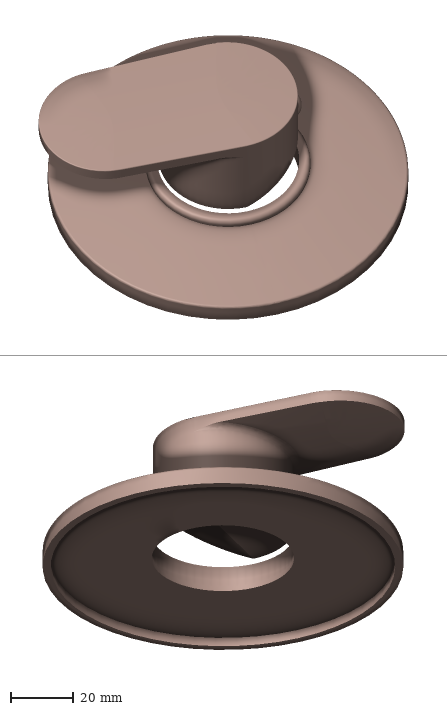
import cadquery as cq
import math

PLATE_RADIUS = 116.0 / 2
PLATE_EDGE_HEIGHT = 6.0
PLATE_EDGE_ROUND = 0.8
DOME_HEIGHT = 9.2
RIM_RADIUS = 26.5
RIM_TOP = 11.7
RIM_ROUND = 1.6
HOLE_RADIUS = 22.9
RECESS_RADIUS = 55.4
RECESS_DEPTH = 3.0

OVERALL_LENGTH = 120.5
POST_RADIUS = 22.5
POST_BOTTOM = 13.4
POST_BACK_BOTTOM = 23.9

LEVER_TIP_RADIUS = 21.3
LEVER_TIP_Y = LEVER_TIP_RADIUS - (OVERALL_LENGTH - PLATE_RADIUS)
LEVER_TOP = 44.5
LEVER_BOTTOM = 37.8
LEVER_TOP_ROUND = 0.4
TOP_RIM_DEPTH = 1.8
NECK_FILLET = 1.9

CREASE_BACK_Y = -2.9
CREASE_FRONT_Y = -39.3
TOP_CROWN_RADIUS = 289.1
TOP_END_RADIUS = 325.2
TOP_CREASE_OFFSET = 3.0
BOTTOM_CROWN_RADIUS = 126.5
BOTTOM_END_RADIUS = 139.7
BOTTOM_CREASE_OFFSET = 1.2

BUTTON_RADIUS = 4.8
BUTTON_REACH = 24.5
BUTTON_Z = 32.4

BLANK_SIZE = 144.5
TRIM_HEIGHT = 12.0


def make_plate():
    """Revolve the plate's half section around Z."""
    dome_radius = (PLATE_RADIUS**2 - RIM_RADIUS**2) / (2 * (DOME_HEIGHT - PLATE_EDGE_HEIGHT))
    section = (
        cq.Workplane("XZ")
        .moveTo(HOLE_RADIUS, RECESS_DEPTH)
        .lineTo(RECESS_RADIUS, RECESS_DEPTH)
        .lineTo(RECESS_RADIUS, 0)
        .lineTo(PLATE_RADIUS, 0)
        .lineTo(PLATE_RADIUS, PLATE_EDGE_HEIGHT)
        .radiusArc((RIM_RADIUS, DOME_HEIGHT), -dome_radius)
        .lineTo(RIM_RADIUS, RIM_TOP)
        .lineTo(HOLE_RADIUS, RIM_TOP)
        .close()
    )
    plate = section.revolve(360, (0, 0, 0), (0, 1, 0))
    plate = plate.edges(cq.selectors.RadiusNthSelector(-2)).edges(">Z").fillet(PLATE_EDGE_ROUND)
    return plate.faces(">Z").edges(cq.selectors.RadiusNthSelector(-1)).fillet(RIM_ROUND)


def lever_envelope():
    """Prism between the two outer tangents of the post circle and tip circle, with a round tip."""
    sine = (POST_RADIUS - LEVER_TIP_RADIUS) / -LEVER_TIP_Y
    cosine = math.sqrt(1 - sine**2)
    post_x, post_y = POST_RADIUS * cosine, -POST_RADIUS * sine
    tip_x, tip_y = LEVER_TIP_RADIUS * cosine, LEVER_TIP_Y - LEVER_TIP_RADIUS * sine
    outline = (
        cq.Workplane("XY", origin=(0, 0, POST_BOTTOM))
        .moveTo(post_x, post_y)
        .lineTo(-post_x, post_y)
        .lineTo(-tip_x, tip_y)
        .threePointArc((0, LEVER_TIP_Y - LEVER_TIP_RADIUS), (tip_x, tip_y))
        .close()
    )
    return outline.extrude(LEVER_TOP - POST_BOTTOM)


def barrel(radius, axis_z):
    """Long cylinder along Y that forms the straight middle of a lever face."""
    half_length = 2 * BLANK_SIZE
    return cq.Workplane("XZ", origin=(0, half_length, axis_z)).circle(radius).extrude(2 * half_length)


def round_end(body, crease_y, toward, crest_z, up, radius, offset):
    """Trim the body to a sphere beyond the crease, on the side of Y given by toward (1 or -1)."""
    centre_y = crease_y - toward * offset
    centre_z = crest_z + up * (offset**2 / (2 * radius) - radius)
    ball = cq.Workplane("XY", origin=(0, centre_y, centre_z)).sphere(radius)
    end_block = cq.Workplane("XY", origin=(0, centre_y + toward * BLANK_SIZE / 2, crest_z))
    return body.cut(end_block.box(BLANK_SIZE, BLANK_SIZE, TRIM_HEIGHT).cut(ball))


def make_lever_blank():
    """Oversized slab whose underside already has its final shape."""
    slab = cq.Workplane("XY", origin=(0, 0, LEVER_BOTTOM)).rect(BLANK_SIZE, BLANK_SIZE)
    slab = slab.extrude(LEVER_TOP - LEVER_BOTTOM)
    slab = slab.intersect(barrel(BOTTOM_CROWN_RADIUS, LEVER_BOTTOM + BOTTOM_CROWN_RADIUS))
    return round_end(
        slab, CREASE_FRONT_Y, -1, LEVER_BOTTOM, -1, BOTTOM_END_RADIUS, BOTTOM_CREASE_OFFSET
    )


def cut_post_slope(body):
    """Slope the bottom of the post's rear half."""
    wedge = (
        cq.Workplane("YZ", origin=(-POST_RADIUS, 0, 0))
        .polyline([(0, POST_BOTTOM), (POST_RADIUS, POST_BOTTOM), (POST_RADIUS, POST_BACK_BOTTOM)])
        .close()
        .extrude(2 * POST_RADIUS)
    )
    return body.cut(wedge)


def make_handle():
    post = cq.Workplane("XY", origin=(0, 0, POST_BOTTOM)).circle(POST_RADIUS).extrude(LEVER_TOP - POST_BOTTOM)
    handle = make_lever_blank().union(post)
    neck_edge = cq.selectors.NearestToPointSelector((0, 0, LEVER_BOTTOM))
    handle = handle.edges(neck_edge).fillet(NECK_FILLET)
    handle = handle.intersect(lever_envelope()).union(post)

    handle = handle.intersect(barrel(TOP_CROWN_RADIUS, LEVER_TOP - TOP_CROWN_RADIUS))
    for crease_y, toward in ((CREASE_BACK_Y, 1), (CREASE_FRONT_Y, -1)):
        handle = round_end(handle, crease_y, toward, LEVER_TOP, 1, TOP_END_RADIUS, TOP_CREASE_OFFSET)

    rim_low = LEVER_TOP - TOP_RIM_DEPTH
    rim_high = LEVER_TOP - TOP_RIM_DEPTH / 3
    rim = cq.selectors.BoxSelector(
        (-BLANK_SIZE, -BLANK_SIZE, rim_low), (BLANK_SIZE, BLANK_SIZE, rim_high), boundingbox=True
    )
    handle = handle.edges(rim).fillet(LEVER_TOP_ROUND)

    handle = cut_post_slope(handle)
    button = cq.Workplane("XY", origin=(0, BUTTON_REACH - BUTTON_RADIUS, BUTTON_Z)).sphere(BUTTON_RADIUS)
    return handle.union(button)


plate = make_plate()
handle = make_handle()
result = cq.Compound.makeCompound([plate.val(), handle.val()])